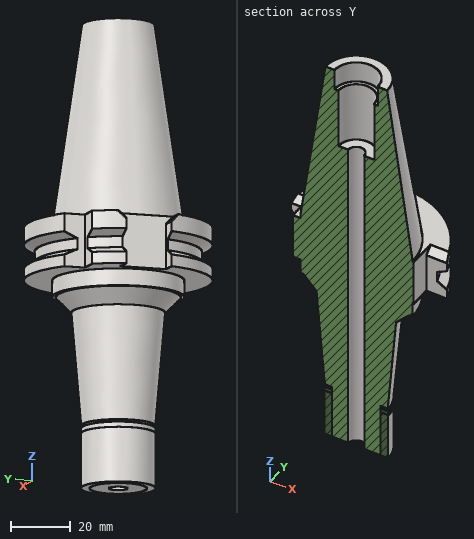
import cadquery as cq
import math


gauge_diameter = 44.45
taper_ratio = 7 / 24
taper_length = 68.4
taper_tip_diameter = gauge_diameter - taper_ratio * taper_length
gauge_land = 1.0


flange_diameter = 63.55
flange_top = -gauge_land
flange_bottom = -19.1
groove_centre = -11.1
groove_root_diameter = 56.25
groove_root_width = 3.75
groove_flank_angle = 30
groove_depth = (flange_diameter - groove_root_diameter) / 2
groove_mouth_width = groove_root_width + 2 * groove_depth * math.tan(math.radians(groove_flank_angle))

slot_width = 16.1
slot_chamfer = 2.7
left_slot_floor = 25.0
right_slot_floor = 22.7
notch_offset = 18.5

hub_bottom = -24.8
cone_top_diameter = 42.1
nose_top = -30.1
nose_bottom = -68.7
nose_top_diameter = 31.6
nose_bottom_diameter = 25.0

neck_diameter = 19.2
overall_length = 158.4
holder_bottom = taper_length - overall_length

socket_diameter = 17.0
socket_depth = 8.2
thread_bore_diameter = 14.0
thread_bore_depth = 32.0
through_hole_diameter = 6.2

sleeve_diameter = 25.2
ring_top = -69.6
ring_bottom = -71.35


def drive_slot(side, floor):
    """Cutter for a slot through the flange on the +X or -X side, chamfered at its top edges."""
    half_width = slot_width / 2
    reach = flange_diameter / 2 - floor
    start = floor if side > 0 else -flange_diameter / 2
    return (
        cq.Workplane("YZ", origin=(start, 0, 0))
        .moveTo(-half_width, flange_bottom)
        .lineTo(half_width, flange_bottom)
        .lineTo(half_width, flange_top - slot_chamfer)
        .lineTo(half_width + slot_chamfer, flange_top)
        .lineTo(-half_width - slot_chamfer, flange_top)
        .lineTo(-half_width, flange_top - slot_chamfer)
        .close()
        .extrude(reach)
    )


def orientation_notch():
    """Square cutter through the flange in the -X, +Y quadrant."""
    size = flange_diameter / 2 - notch_offset
    return (
        cq.Workplane("XY", origin=(-notch_offset, notch_offset, flange_bottom))
        .rect(-size, size, centered=False)
        .extrude(flange_top - flange_bottom)
    )


def stepped_bore():
    """Cutter for the socket, the thread bore and the through hole along the axis."""
    top = cq.Workplane("XY", origin=(0, 0, taper_length))
    socket = top.circle(socket_diameter / 2).extrude(-socket_depth)
    thread_bore = top.circle(thread_bore_diameter / 2).extrude(-thread_bore_depth)
    through_hole = top.circle(through_hole_diameter / 2).extrude(holder_bottom - taper_length)
    return socket.union(thread_bore).union(through_hole)


def build_holder():
    """Taper, grooved flange, hub, nose and neck turned as one piece, then cut."""
    turned = (
        cq.Workplane("XZ")
        .moveTo(0, taper_length)
        .lineTo(taper_tip_diameter / 2, taper_length)
        .lineTo(gauge_diameter / 2, 0)
        .lineTo(gauge_diameter / 2, flange_top)
        .lineTo(flange_diameter / 2, flange_top)
        .lineTo(flange_diameter / 2, groove_centre + groove_mouth_width / 2)
        .lineTo(groove_root_diameter / 2, groove_centre + groove_root_width / 2)
        .lineTo(groove_root_diameter / 2, groove_centre - groove_root_width / 2)
        .lineTo(flange_diameter / 2, groove_centre - groove_mouth_width / 2)
        .lineTo(flange_diameter / 2, flange_bottom)
        .lineTo(gauge_diameter / 2, flange_bottom)
        .lineTo(gauge_diameter / 2, hub_bottom)
        .lineTo(cone_top_diameter / 2, hub_bottom)
        .lineTo(nose_top_diameter / 2, nose_top)
        .lineTo(nose_bottom_diameter / 2, nose_bottom)
        .lineTo(neck_diameter / 2, nose_bottom)
        .lineTo(neck_diameter / 2, holder_bottom)
        .lineTo(0, holder_bottom)
        .close()
        .revolve(360, (0, 0, 0), (0, 1, 0))
    )
    return (
        turned.cut(drive_slot(-1, left_slot_floor))
        .cut(drive_slot(1, right_slot_floor))
        .cut(orientation_notch())
        .cut(stepped_bore())
    )


def collar(top, bottom):
    """Plain tube that fits over the neck between two heights."""
    return (
        cq.Workplane("XY", origin=(0, 0, bottom))
        .circle(sleeve_diameter / 2)
        .circle(neck_diameter / 2)
        .extrude(top - bottom)
    )


holder = build_holder()
ring = collar(ring_top, ring_bottom)
sleeve = collar(ring_bottom, holder_bottom)

result = cq.Compound.makeCompound([holder.val(), ring.val(), sleeve.val()])